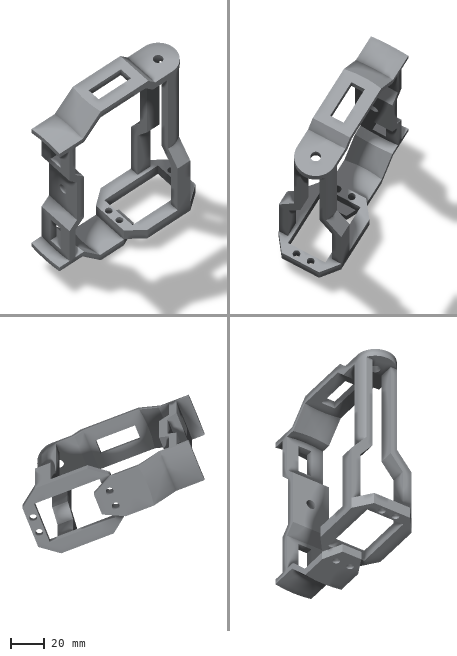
import cadquery as cq

height = 136.8
depth = 107.1
mid_z = height / 2
band_width = 25.9
half_band = band_width / 2

arm_thickness = 5.2
arch_rise = 1.2
lip_thickness = 3.5
lip_side_top = 122.5
outer_break_y = 18.2
inner_break_y = 19.3
arm_rear_y = 69.9
slot_width = 9.3
arm_slot_front = 37.9
arm_slot_rear = 63.3

tab_drop = 5.6
tab_center_y = 88.8
step_shift = 2.0
pin_diameter = 6.3

wall_front_y = 8.0
wall_rear_y = 12.6
recess_front_y = 13.8
recess_rear_y = 19.2
wall_half_height = 52.3
recess_front_half = 17.2
recess_rear_half = 18.9
bend_front_half = 23.1
bend_rear_half = 25.2
wall_slot_low = 27.9
wall_slot_high = 47.0

base_bottom = 5.7
base_top = 13.5
base_width = 43.2
base_front_y = 50.8
front_corner_y = 61.8
rear_corner_y = 95.8
window_front_y = 57.5
window_rear_y = 99.6
screw_diameter = 4.7
screw_offset_x = 4.9
screw_front_y = 54.0
screw_rear_y = 103.3
pad_rear_y = 63.6
pad_rear_width = 13.4

leg_front_y = 85.6
leg_rear_y = 95.6
leg_width = 6.3
leg_outer_bend_z = 51.8
leg_inner_bend_z = 49.5
leg_slope = 1.22


def box(x0, x1, y0, y1, z0, z1):
    return cq.Workplane("XY").box(x1 - x0, y1 - y0, z1 - z0, centered=False).translate((x0, y0, z0))


def prism_x(points):
    """Extrude a (Y, Z) outline over the band width."""
    return cq.Workplane("YZ").polyline(points).close().extrude(half_band, both=True)


def volume_below(flat_z, lip_side_z, break_y):
    """Solid below an arched lip, an arched 45 degree ramp and a flat top."""
    section = (
        cq.Workplane("XZ")
        .moveTo(-half_band, mid_z)
        .lineTo(-half_band, lip_side_z)
        .threePointArc((0, lip_side_z + arch_rise), (half_band, lip_side_z))
        .lineTo(half_band, mid_z)
        .close()
        .wire()
        .val()
    )
    run = flat_z - lip_side_z
    ramp_end = break_y + run
    lip = cq.Workplane(cq.Solid.extrudeLinear(section, [], cq.Vector(0, ramp_end, 0)))
    ramp_section = section.translate(cq.Vector(0, break_y, 0))
    ramp = cq.Workplane(cq.Solid.extrudeLinear(ramp_section, [], cq.Vector(0, run, run)))
    flat = box(-half_band, half_band, ramp_end, arm_rear_y, mid_z, flat_z)
    ceiling = box(-half_band, half_band, 0, arm_rear_y, mid_z, flat_z)
    return lip.union(ramp).union(flat).intersect(ceiling)


def arm():
    outer = volume_below(height, lip_side_top, outer_break_y)
    inner = volume_below(height - arm_thickness, lip_side_top - lip_thickness, inner_break_y)
    return outer.cut(inner)


def tab_outline(z0, z1):
    """Plan shape of the rear tab with its round end, between two heights."""
    front_y = arm_rear_y + tab_drop
    straight = box(-half_band, half_band, front_y, tab_center_y, z0, z1)
    round_end = cq.Workplane("XY", origin=(0, tab_center_y, z0)).circle(half_band).extrude(z1 - z0)
    return straight.union(round_end)


def upper_arm():
    tab_top = height - tab_drop
    tab_bottom = tab_top - arm_thickness
    step_rear_y = arm_rear_y + tab_drop
    step = prism_x([
        (arm_rear_y - step_shift, height),
        (arm_rear_y, height),
        (step_rear_y, tab_top),
        (step_rear_y, tab_bottom),
        (step_rear_y - step_shift, tab_bottom),
        (arm_rear_y - step_shift, height - arm_thickness),
    ])
    rear_limit = box(-half_band, half_band, 0, arm_rear_y - step_shift, mid_z, height)
    tab = tab_outline(tab_bottom, tab_top)
    pin = cq.Workplane("XY", origin=(0, tab_center_y, mid_z)).circle(pin_diameter / 2).extrude(mid_z)
    slot = box(-slot_width / 2, slot_width / 2, arm_slot_front, arm_slot_rear, mid_z, height)
    return arm().intersect(rear_limit).union(step).union(tab).cut(pin).cut(slot)


def lower_arm():
    front_limit = box(-half_band, half_band, 0, base_front_y, 0, mid_z)
    pad = (
        cq.Workplane("XY")
        .polyline([
            (-half_band, base_front_y),
            (half_band, base_front_y),
            (pad_rear_width / 2, pad_rear_y),
            (-pad_rear_width / 2, pad_rear_y),
        ])
        .close()
        .extrude(base_bottom)
    )
    return arm().mirror("XY", (0, 0, mid_z)).intersect(front_limit).union(pad)


def front_wall():
    front_edge = [
        (recess_front_y, recess_front_half),
        (wall_front_y, bend_front_half),
        (wall_front_y, wall_half_height),
    ]
    rear_edge = [
        (wall_rear_y, wall_half_height),
        (wall_rear_y, bend_rear_half),
        (recess_rear_y, recess_rear_half),
    ]
    upper = front_edge + rear_edge
    lower = [(y, -z) for y, z in reversed(upper)]
    wall = prism_x([(y, mid_z + z) for y, z in upper + lower])
    for low, high in ((wall_slot_low, wall_slot_high), (-wall_slot_high, -wall_slot_low)):
        wall = wall.cut(box(-slot_width / 2, slot_width / 2, 0, recess_rear_y, mid_z + low, mid_z + high))
    pin = cq.Workplane("XZ", origin=(0, 0, mid_z)).circle(pin_diameter / 2).extrude(-recess_rear_y)
    return wall.cut(pin)


def base_plate():
    half_base = base_width / 2
    right_side = [
        (half_band, base_front_y),
        (half_base, front_corner_y),
        (half_base, rear_corner_y),
        (half_band, depth),
    ]
    left_side = [(-x, y) for x, y in reversed(right_side)]
    plate = (
        cq.Workplane("XY", origin=(0, 0, base_bottom))
        .polyline(right_side + left_side)
        .close()
        .extrude(base_top - base_bottom)
    )
    return plate.cut(box(-half_band, half_band, window_front_y, window_rear_y, base_bottom, base_top))


def screw_holes():
    centers = [(x, y) for x in (-screw_offset_x, screw_offset_x) for y in (screw_front_y, screw_rear_y)]
    return cq.Workplane("XY").pushPoints(centers).circle(screw_diameter / 2).extrude(base_top)


def leg():
    outer_x = base_width / 2
    inner_x = outer_x - leg_width
    column_inner_x = half_band - leg_width
    top_z = height - tab_drop
    lower = (
        cq.Workplane("XZ", origin=(0, leg_front_y, 0))
        .polyline([
            (outer_x, base_bottom),
            (outer_x, leg_outer_bend_z),
            (column_inner_x, leg_outer_bend_z + (outer_x - column_inner_x) * leg_slope),
            (column_inner_x, leg_inner_bend_z + (inner_x - column_inner_x) * leg_slope),
            (inner_x, leg_inner_bend_z),
            (inner_x, base_bottom),
        ])
        .close()
        .extrude(leg_front_y - leg_rear_y)
    )
    column_bottom = leg_outer_bend_z + (outer_x - half_band) * leg_slope
    column = box(column_inner_x, half_band, leg_front_y, leg_rear_y, column_bottom, top_z)
    return lower.union(column.intersect(tab_outline(column_bottom, top_z)))


right_leg = leg()
result = (
    upper_arm()
    .union(lower_arm())
    .union(front_wall())
    .union(base_plate())
    .union(right_leg)
    .union(right_leg.mirror("YZ"))
    .cut(screw_holes())
)